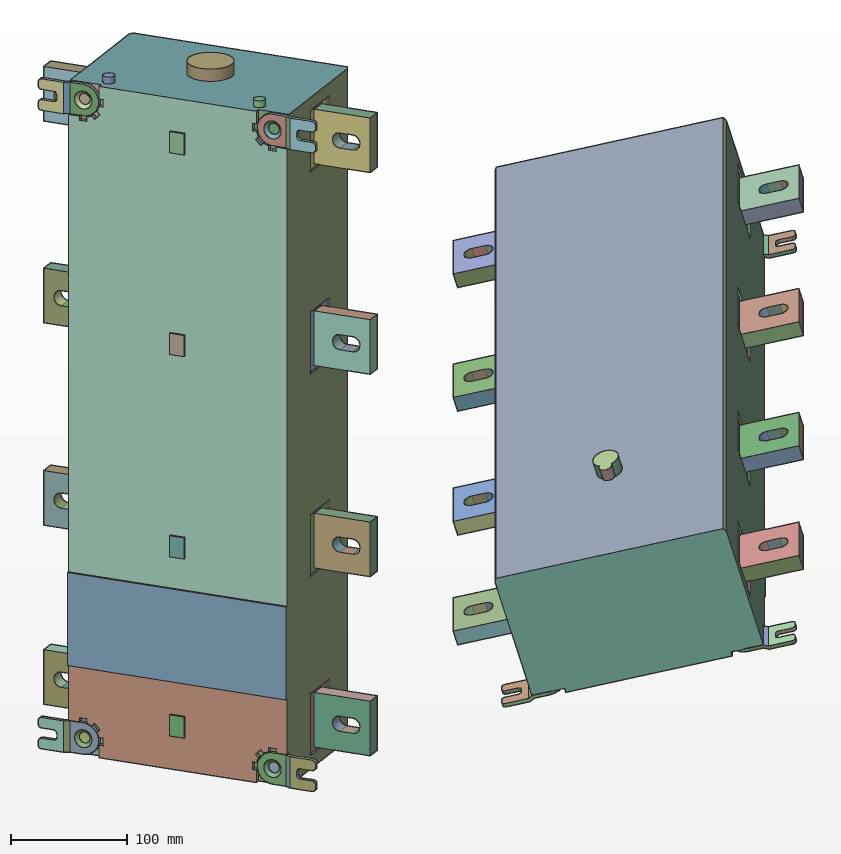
import cadquery as cq

BODY_WIDTH = 205.0
BODY_DEPTH = 130.5
OVERALL_HEIGHT = 624.5
BODY_HEIGHT = 613.0
BACK_CHAMFER_DEPTH = 4.0
BACK_CHAMFER_WIDTH = 2.0
HALF_WIDTH = BODY_WIDTH / 2
MID_DEPTH = 69.0

RELIEF = 2.0
PANEL_BOTTOM = 80.5
PANEL_TOP = 165.5
WINDOW_WIDTH = 14.0
WINDOW_HEIGHT = 19.5

BAR_LEVELS = (40.5, 204.0, 389.0, 573.0)
BAR_SPAN = 306.0
BAR_THICKNESS = 15.0
BAR_HEIGHT = 50.0
BAR_SLOT_LENGTH = 25.5
BAR_SLOT_HEIGHT = 14.0
BAR_SLOT_X = 130.5
POCKET_WIDTH = 39.5
POCKET_HEIGHT = 56.0
POCKET_DEPTH = 2.0

BOSS_DIAMETER = 40.5
BOSS_HEIGHT = OVERALL_HEIGHT - BODY_HEIGHT
PIN_DIAMETER = 10.5
PIN_HEIGHT = 6.0
PIN_X = 70.5
PIN_Y = 14.0

KNOB_DIAMETER = 22.5
KNOB_LENGTH = 14.0
KNOB_Z = 123.0
LUG_DIAMETER = 11.0
LUG_LENGTH = 11.0
LUG_Z = 111.0

SCREW_X = 88.5
SCREW_INSET = 15.0
CLIP_WIDTH = 29.0
CLIP_THICKNESS = 4.0
CLIP_TIP_X = 130.0
CLIP_TIP_RADIUS = 3.0
CLIP_SLOT_WIDTH = 9.5
CLIP_SLOT_END_X = 112.5
BEND_OUTER_X = 106.0
BEND_INNER_X = 101.0
RECESS_DEPTH = 4.5
RECESS_HALF_WIDTH = 15.0
NOTCH_WIDTH = 7.0
NOTCH_REACH = 19.0
SINK_DIAMETER = 16.0
SINK_FLOOR_DIAMETER = 10.0
SINK_DEPTH = 3.0


def block(x_range, y_range, z_range):
    """Box spanning the given (low, high) limits."""
    size = [high - low for low, high in (x_range, y_range, z_range)]
    corner = (x_range[0], y_range[0], z_range[0])
    return cq.Workplane("XY").box(*size, centered=False).translate(corner)


def around(centre, size):
    """Limits of a length centred on a place."""
    return (centre - size / 2, centre + size / 2)


def front_plane(y):
    """Sketch plane at depth y: local x is X, local y is Z, extruding toward -Y."""
    return cq.Workplane("XZ", origin=(0, y, 0))


def housing():
    chamfer_start = BODY_DEPTH - BACK_CHAMFER_DEPTH
    back_half_width = HALF_WIDTH - BACK_CHAMFER_WIDTH
    return (
        cq.Workplane("XY")
        .moveTo(-HALF_WIDTH, 0)
        .lineTo(HALF_WIDTH, 0)
        .lineTo(HALF_WIDTH, chamfer_start)
        .lineTo(back_half_width, BODY_DEPTH)
        .lineTo(-back_half_width, BODY_DEPTH)
        .lineTo(-HALF_WIDTH, chamfer_start)
        .close()
        .extrude(BODY_HEIGHT)
    )


def front_relief():
    raised = block(around(0, BODY_WIDTH), (-RELIEF, RELIEF), (PANEL_BOTTOM, PANEL_TOP))
    for level in BAR_LEVELS:
        window = block(around(0, WINDOW_WIDTH), (-RELIEF, RELIEF), around(level, WINDOW_HEIGHT))
        raised = raised.union(window)
    return raised


def side_pockets(level):
    pocket = block(
        (HALF_WIDTH - POCKET_DEPTH, HALF_WIDTH),
        around(MID_DEPTH, POCKET_WIDTH),
        around(level, POCKET_HEIGHT),
    )
    return pocket.union(pocket.mirror("YZ"))


def busbar(level):
    bar = block(around(0, BAR_SPAN), around(MID_DEPTH, BAR_THICKNESS), around(level, BAR_HEIGHT))
    slots = (
        front_plane(MID_DEPTH + BAR_THICKNESS / 2)
        .pushPoints([(-BAR_SLOT_X, level), (BAR_SLOT_X, level)])
        .slot2D(BAR_SLOT_LENGTH, BAR_SLOT_HEIGHT)
        .extrude(BAR_THICKNESS)
    )
    return bar.cut(slots)


def top_fittings():
    top = cq.Workplane("XY", origin=(0, 0, BODY_HEIGHT))
    boss = top.center(0, MID_DEPTH).circle(BOSS_DIAMETER / 2).extrude(BOSS_HEIGHT)
    pins = top.pushPoints([(-PIN_X, PIN_Y), (PIN_X, PIN_Y)]).circle(PIN_DIAMETER / 2).extrude(PIN_HEIGHT)
    return boss.union(pins)


def rear_knob():
    knob_end = BODY_DEPTH + KNOB_LENGTH
    knob = front_plane(knob_end).center(0, KNOB_Z).circle(KNOB_DIAMETER / 2).extrude(KNOB_LENGTH)
    lug = front_plane(knob_end).center(0, LUG_Z).circle(LUG_DIAMETER / 2).extrude(LUG_LENGTH)
    return knob.union(lug)



def corner_recess():
    inner_x = SCREW_X - RECESS_HALF_WIDTH
    depth = (0, RECESS_DEPTH)
    recess = block((inner_x, HALF_WIDTH), depth, (-RECESS_HALF_WIDTH, SCREW_INSET))
    recess = recess.edges("|Y and <X and <Z").fillet(CLIP_WIDTH / 2)
    notch = block(around(SCREW_X, NOTCH_WIDTH), depth, (-NOTCH_REACH, 0))
    for angle in (0, 45, 90):
        turned = notch.rotate((SCREW_X, 0, 0), (SCREW_X, 1, 0), angle)
        recess = recess.union(turned)
    return recess


def clip():
    inner_front = RECESS_DEPTH - CLIP_THICKNESS
    tab_front = -RELIEF
    inner_x = SCREW_X - CLIP_WIDTH / 2
    strip = (
        cq.Workplane("XY", origin=(0, 0, -CLIP_WIDTH / 2))
        .moveTo(inner_x, inner_front)
        .lineTo(BEND_INNER_X, inner_front)
        .lineTo(BEND_OUTER_X, tab_front)
        .lineTo(CLIP_TIP_X, tab_front)
        .lineTo(CLIP_TIP_X, tab_front + CLIP_THICKNESS)
        .lineTo(BEND_OUTER_X, tab_front + CLIP_THICKNESS)
        .lineTo(BEND_INNER_X, RECESS_DEPTH)
        .lineTo(inner_x, RECESS_DEPTH)
        .close()
        .extrude(CLIP_WIDTH)
    )
    tip_slot = block((CLIP_SLOT_END_X, CLIP_TIP_X), (tab_front, RECESS_DEPTH), around(0, CLIP_SLOT_WIDTH))
    tip_slot = tip_slot.edges("|Y and <X").fillet(CLIP_TIP_RADIUS)
    strip = strip.cut(tip_slot).faces(">X").edges("|Y").fillet(CLIP_TIP_RADIUS)
    end_round = front_plane(RECESS_DEPTH).center(SCREW_X, 0).circle(CLIP_WIDTH / 2).extrude(RECESS_DEPTH)
    end_cut = block((inner_x, SCREW_X), (0, RECESS_DEPTH), around(0, CLIP_WIDTH)).cut(end_round)
    return strip.cut(end_cut)


def countersink():
    inner_front = RECESS_DEPTH - CLIP_THICKNESS
    return (
        front_plane(inner_front + SINK_DEPTH)
        .center(SCREW_X, 0)
        .circle(SINK_FLOOR_DIAMETER / 2)
        .workplane(offset=SINK_DEPTH)
        .circle(SINK_DIAMETER / 2)
        .loft(ruled=True)
    )


def at_four_corners(shape):
    top = shape.translate((0, 0, BODY_HEIGHT - SCREW_INSET))
    bottom = shape.mirror("XY").translate((0, 0, SCREW_INSET))
    right = top.union(bottom)
    return right.union(right.mirror("YZ"))


result = housing().union(front_relief())
for bar_level in BAR_LEVELS:
    result = result.cut(side_pockets(bar_level)).union(busbar(bar_level))
result = result.union(top_fittings()).union(rear_knob())
result = result.cut(at_four_corners(corner_recess()))
result = result.union(at_four_corners(clip().cut(countersink())))